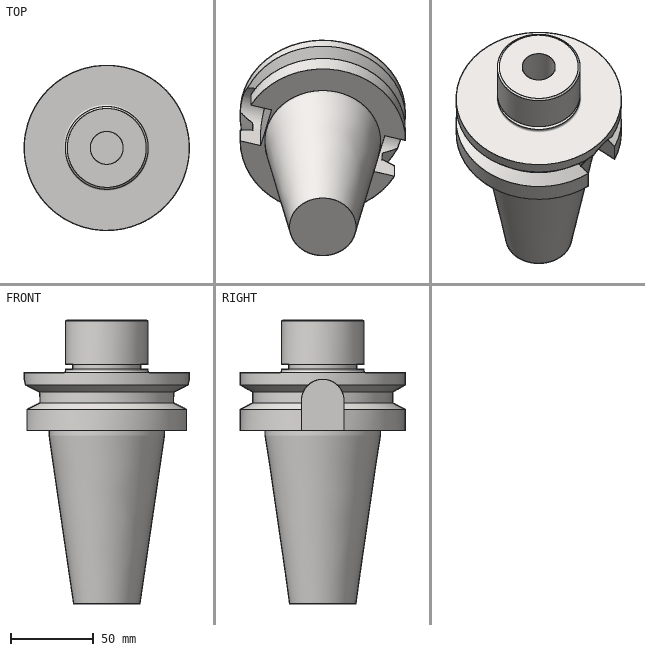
import cadquery as cq
import math

total_height = 171.8
taper_height = 101.9
flange_bottom = 104.8
flange_top = 139.8
collar_top = 142.0
neck_top = 144.8

taper_large_radius = 34.96
taper_slope = 7 / 24
flange_radius = 50.0
flange_groove_radius = 42.5
collar_radius = 25.0
collar_fillet_radius = 1.0
neck_radius = 20.6
pilot_radius = 25.0
pilot_chamfer_radial = 1.2
pilot_chamfer_height = 0.7

lower_rim_height = 12.9
upper_rim_height = 7.4
upper_flank_height = (flange_radius - flange_groove_radius) * math.tan(math.radians(30))
lower_flank_height = 4.0

slot_width = 25.8
slot_floor_distance = 35.4
slot_top = 135.9

bore_radius = 10.0
bore_depth = total_height - flange_top


def turned_body():
    """Revolve taper, grooved flange, collar, neck and pilot about Z."""
    taper_small_radius = taper_large_radius - taper_height * taper_slope / 2
    lower_rim_top = flange_bottom + lower_rim_height
    upper_rim_bottom = flange_top - upper_rim_height
    flange_section = [
        (0, 0),
        (taper_small_radius, 0),
        (taper_large_radius, taper_height),
        (taper_large_radius, flange_bottom),
        (flange_radius, flange_bottom),
        (flange_radius, lower_rim_top),
        (flange_groove_radius, lower_rim_top + lower_flank_height),
        (flange_groove_radius, upper_rim_bottom - upper_flank_height),
        (flange_radius, upper_rim_bottom),
        (flange_radius, flange_top),
        (collar_radius + collar_fillet_radius, flange_top),
    ]
    pilot_section = [
        (collar_radius, collar_top),
        (neck_radius, collar_top),
        (neck_radius, neck_top),
        (pilot_radius, neck_top),
        (pilot_radius, total_height - pilot_chamfer_height),
        (pilot_radius - pilot_chamfer_radial, total_height),
        (0, total_height),
    ]
    arc_offset = collar_fillet_radius * (1 - math.sqrt(0.5))
    fillet_middle = (collar_radius + arc_offset, flange_top + arc_offset)
    fillet_end = (collar_radius, flange_top + collar_fillet_radius)
    return (
        cq.Workplane("XZ")
        .polyline(flange_section)
        .threePointArc(fillet_middle, fillet_end)
        .polyline(pilot_section, includeCurrent=True)
        .close()
        .revolve(360, (0, 0), (0, 1))
    )


def drive_slot(side):
    """Round-topped slot cutter on the +X (side=1) or -X (side=-1) side."""
    half_width = slot_width / 2
    arc_start = slot_top - half_width
    return (
        cq.Workplane("YZ", origin=(side * slot_floor_distance, 0, 0))
        .moveTo(-half_width, flange_bottom)
        .lineTo(-half_width, arc_start)
        .threePointArc((0, slot_top), (half_width, arc_start))
        .lineTo(half_width, flange_bottom)
        .close()
        .extrude(side * flange_radius)
    )


result = turned_body()
for side in (-1, 1):
    result = result.cut(drive_slot(side))

bore = cq.Workplane("XY", origin=(0, 0, total_height)).circle(bore_radius).extrude(-bore_depth)
result = result.cut(bore)